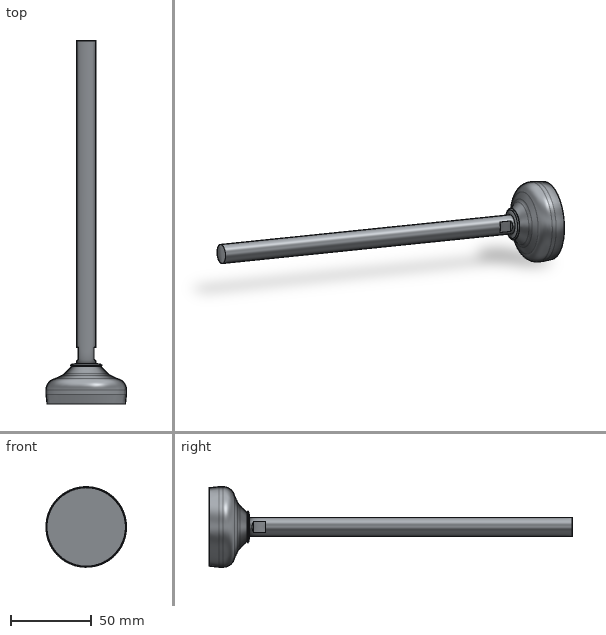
import cadquery as cq
import math

LENGTH = 225.0
BASE_Y = -LENGTH / 2

FOOT_RADIUS = 25.0
SOLE_RADIUS = 24.3
TAPER_TOP = 6.0
BAND_TOP = 8.8
SHOULDER_RADIUS = 19.4
SHOULDER_TOP = 15.8
SHOULDER_BULGE = 1.5
FLARE_RADIUS = 15.0
FLARE_TOP = 17.8
CONE_BASE_RADIUS = 13.3
CONE_BASE = 19.1
FLARE_BULGE = -0.1
NECK_RADIUS = 9.0
NECK_HEIGHT = 23.5
LIP_RADIUS = 10.0
LIP_HEIGHT = 24.0
COLLAR_RADIUS = 8.8
COLLAR_HEIGHT = 24.8
FOOT_HEIGHT = 25.2

ROD_DIAMETER = 12.0
ROD_RADIUS = ROD_DIAMETER / 2
FLAT_DISTANCE = 5.0
FLAT_BOTTOM = 27.7
FLAT_TOP = 35.0
RAMP_ANGLE = 45.0


def arc_middle(start, end, bulge):
    """Point offset from the chord's midpoint to the right of its direction."""
    dx = end[0] - start[0]
    dy = end[1] - start[1]
    chord = math.hypot(dx, dy)
    middle_x = (start[0] + end[0]) / 2 + bulge * dy / chord
    middle_y = (start[1] + end[1]) / 2 - bulge * dx / chord
    return middle_x, middle_y


def make_foot():
    """Bell-shaped foot, revolved about the Y axis."""
    band = (FOOT_RADIUS, BAND_TOP)
    shoulder = (SHOULDER_RADIUS, SHOULDER_TOP)
    flare = (FLARE_RADIUS, FLARE_TOP)
    cone_base = (CONE_BASE_RADIUS, CONE_BASE)
    profile = (
        cq.Workplane("XY")
        .lineTo(SOLE_RADIUS, 0)
        .lineTo(FOOT_RADIUS, TAPER_TOP)
        .lineTo(*band)
        .threePointArc(arc_middle(band, shoulder, SHOULDER_BULGE), shoulder)
        .lineTo(*flare)
        .threePointArc(arc_middle(flare, cone_base, FLARE_BULGE), cone_base)
        .lineTo(NECK_RADIUS, NECK_HEIGHT)
        .lineTo(LIP_RADIUS, LIP_HEIGHT)
        .lineTo(COLLAR_RADIUS, COLLAR_HEIGHT)
        .lineTo(ROD_RADIUS, FOOT_HEIGHT)
        .lineTo(0, FOOT_HEIGHT)
        .close()
    )
    return profile.revolve(360, (0, 0), (0, 1)).translate((0, BASE_Y, 0))


def make_flat_cutter():
    """Wedge-ended block that cuts the +X flat into the rod."""
    depth = ROD_RADIUS - FLAT_DISTANCE
    ramp_bottom = FLAT_BOTTOM - depth / math.tan(math.radians(RAMP_ANGLE))
    return (
        cq.Workplane("XY")
        .polyline([
            (FLAT_DISTANCE, FLAT_BOTTOM),
            (ROD_RADIUS, ramp_bottom),
            (ROD_RADIUS, FLAT_TOP),
            (FLAT_DISTANCE, FLAT_TOP),
        ])
        .close()
        .extrude(ROD_RADIUS, both=True)
    )


def make_spindle():
    """Rod standing on the foot, with two opposite wrench flats."""
    rod = (
        cq.Workplane("XZ", origin=(0, FOOT_HEIGHT, 0))
        .circle(ROD_RADIUS)
        .extrude(-(LENGTH - FOOT_HEIGHT))
    )
    for angle in (0, 180):
        rod = rod.cut(make_flat_cutter().rotate((0, 0, 0), (0, 1, 0), angle))
    return rod.translate((0, BASE_Y, 0))


foot = make_foot()
spindle = make_spindle()

result = cq.Compound.makeCompound([foot.val(), spindle.val()])